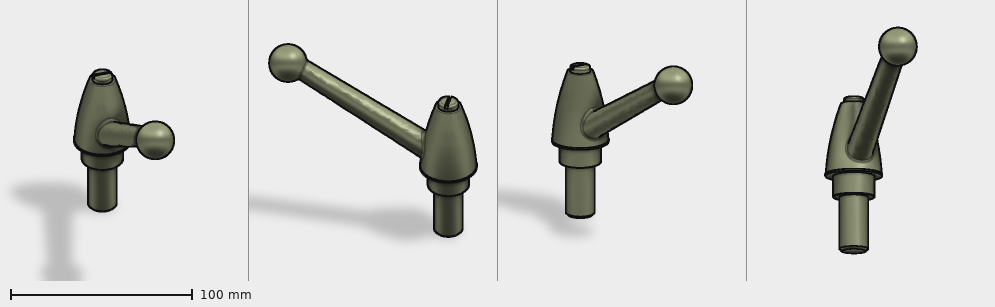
import cadquery as cq
import math

stud_radius = 16.0 / 2
stud_chamfer = 1.4
collar_radius = 23.0 / 2
collar_chamfer = 0.4
collar_bottom = 30.3

hub_bottom = 42.0
hub_top = 82.8
rim_height = 1.2
rim_radius = 31.7 / 2
rim_rounding = 0.7
hub_base_radius = 15.5
hub_middle_radius = 12.5
hub_middle_height = 64.6
hub_top_radius = 7.1

screw_radius = 11.0 / 2
recess_radius = 11.2 / 2
recess_depth = 1.2
hub_lip_rounding = 0.5
screw_top = 86.1
screw_rounding = 1.3
slot_width = 1.5
slot_depth = 1.6

overall_length = 116.8
overall_height = 108.0
ball_radius = 10.5
ball_x = overall_length - rim_radius - ball_radius
ball_z = overall_height - ball_radius

arm_angle = 30.0
arm_start_x = 5.8
arm_start_z = 50.5
arm_end_x = 87.6
arm_start_half_width = 7.5
arm_start_half_depth = 7.1
arm_end_half_width = 6.0
arm_end_half_depth = 5.4
hub_fillet = 1.8
ball_fillet = 1.2


def make_stud():
    """Stud with a chamfered tip, carrying the wider collar."""
    stud = cq.Workplane("XY").circle(stud_radius).extrude(hub_bottom)
    stud = stud.faces("<Z").chamfer(stud_chamfer)
    collar = (
        cq.Workplane("XY", origin=(0, 0, collar_bottom))
        .circle(collar_radius)
        .extrude(hub_bottom - collar_bottom)
        .faces("<Z")
        .chamfer(collar_chamfer)
    )
    return stud.union(collar)


def make_hub():
    """Barrel-sided cone standing on a thin rim."""
    rim_top = hub_bottom + rim_height
    cone = (
        cq.Workplane("XZ")
        .moveTo(0, hub_bottom)
        .lineTo(hub_base_radius, hub_bottom)
        .lineTo(hub_base_radius, rim_top)
        .threePointArc((hub_middle_radius, hub_middle_height), (hub_top_radius, hub_top))
        .lineTo(0, hub_top)
        .close()
        .revolve(360, (0, 0, 0), (0, 1, 0))
    )
    rim = (
        cq.Workplane("XY", origin=(0, 0, hub_bottom))
        .circle(rim_radius)
        .extrude(rim_height)
        .faces("<Z")
        .edges()
        .fillet(rim_rounding)
    )
    return cone.union(rim)


def make_arm():
    """Tapered elliptical bar rising from the hub into the ball."""
    angle = math.radians(arm_angle)
    direction = (math.cos(angle), 0, math.sin(angle))
    length = (arm_end_x - arm_start_x) / math.cos(angle)
    start_plane = cq.Plane((arm_start_x, 0, arm_start_z), xDir=(0, 1, 0), normal=direction)
    return (
        cq.Workplane(start_plane)
        .ellipse(arm_start_half_width, arm_start_half_depth)
        .workplane(offset=length)
        .ellipse(arm_end_half_width, arm_end_half_depth)
        .loft()
    )


def make_screw():
    """Screw end with a rounded top edge and a straight slot along Y."""
    recess_floor = hub_top - recess_depth
    screw = (
        cq.Workplane("XY", origin=(0, 0, recess_floor))
        .circle(screw_radius)
        .extrude(screw_top - recess_floor)
        .faces(">Z")
        .edges()
        .fillet(screw_rounding)
    )
    slot = (
        cq.Workplane("XY", origin=(0, 0, screw_top - slot_depth))
        .rect(slot_width, 2 * recess_radius)
        .extrude(slot_depth)
    )
    return screw.cut(slot)


def fillet_joint(body, near_point, radius):
    """Round the joint edge lying closest to a point."""
    return body.edges(cq.NearestToPointSelector(near_point)).fillet(radius)


hub = make_hub()
arm = make_arm()
ball = cq.Workplane("XY", origin=(ball_x, 0, ball_z)).sphere(ball_radius)

lever = hub.union(arm)
lever = fillet_joint(lever, (hub_middle_radius, 0, hub_middle_height - arm_start_half_depth), hub_fillet)
lever = lever.union(ball)
lever = fillet_joint(lever, (ball_x - ball_radius, 0, ball_z), ball_fillet)

recess = (
    cq.Workplane("XY", origin=(0, 0, hub_top - recess_depth))
    .circle(recess_radius)
    .extrude(recess_depth)
)
hollowed = lever.cut(recess)
hub_lip = hollowed.faces(cq.NearestToPointSelector((0, 0, hub_top))).edges()
result = hub_lip.fillet(hub_lip_rounding).union(make_screw()).union(make_stud())